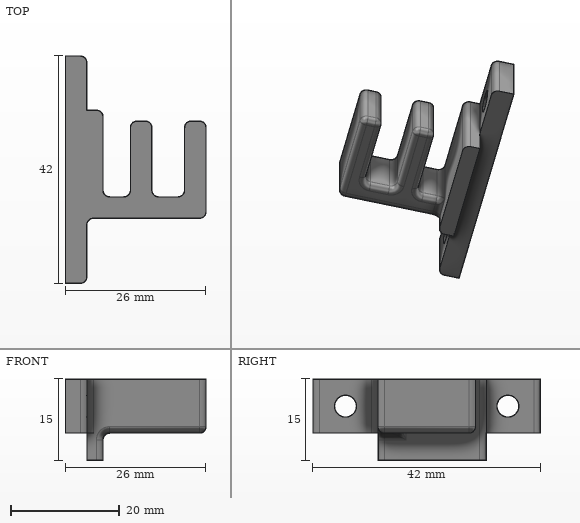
import cadquery as cq

plate_length = 42
wall = 4.0
height = 10.0
tongue_thickness = 3.0
tongue_drop = height / 2
tongue_width = 20.0
arm_y = 12.0
arm_end = 26.0
prong_tip = 30.0
middle_prong_x = 12.0
hole_diameter = 4.0
hole_inset = 6.0
edge_radius = 1.2
tolerance = 0.005

tongue_face = wall + tongue_thickness
slot_floor = arm_y + wall


def block(x_start, x_end, y_start, y_end, z_start=0):
    """Box between the given X and Y limits, from z_start up to the top face."""
    return (
        cq.Workplane("XY", origin=(0, 0, z_start))
        .moveTo(x_start, y_start)
        .lineTo(x_end, y_start)
        .lineTo(x_end, y_end)
        .lineTo(x_start, y_end)
        .close()
        .extrude(height - z_start)
    )


def edges_near(point):
    """Selector for the edges whose middle lies at the given point."""
    low = tuple(value - tolerance for value in point)
    high = tuple(value + tolerance for value in point)
    return cq.selectors.BoxSelector(low, high)


plate = block(0, wall, 0, plate_length)
tongue = block(wall, tongue_face, arm_y, arm_y + tongue_width, -tongue_drop)
arm = block(wall, arm_end, arm_y, slot_floor)
body = plate.union(tongue).union(arm)
for prong_x in (middle_prong_x, arm_end - wall):
    body = body.union(block(prong_x, prong_x + wall, arm_y, prong_tip))
body = body.clean()

body = body.edges(edges_near((tongue_face, (arm_y + slot_floor) / 2, 0))).fillet(edge_radius)


def is_rounded_upright(edge):
    """True for upright edges beyond the plate face and at the plate ends and arm root."""
    center = edge.Center()
    beyond_plate = center.x > wall + tolerance and center.z > 0
    on_plate_face = abs(center.x - wall) < tolerance
    at_tongue_side = arm_y + tolerance < center.y < plate_length - tolerance
    return beyond_plate or (on_plate_face and center.z > 0 and not at_tongue_side)


body = body.edges("|Z").filter(is_rounded_upright).fillet(edge_radius)

rim_start = (tongue_face, arm_y, -(edge_radius + tongue_drop) / 2)
body = body.edges(edges_near(rim_start)).fillet(edge_radius)

hole_centres = [
    (hole_inset, height / 2),
    (plate_length - hole_inset, height / 2),
]
holes = cq.Workplane("YZ").pushPoints(hole_centres).circle(hole_diameter / 2).extrude(wall)
body = body.cut(holes)

result = body